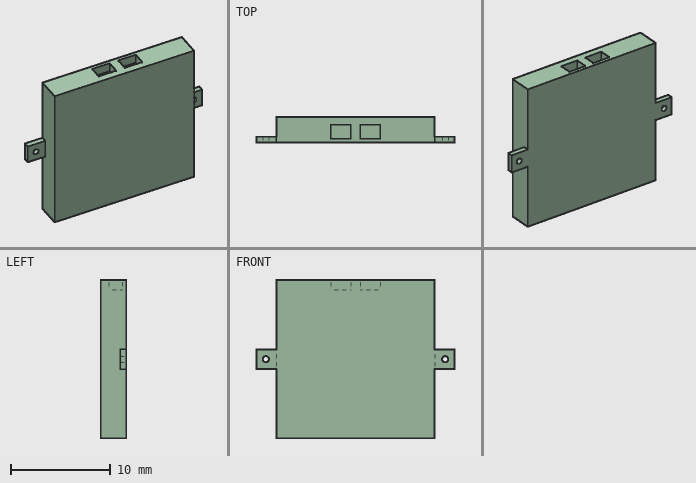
import cadquery as cq

overall_length = 20
body_size = 16
body_thickness = 2.6

tab_height = 2
tab_thickness = 0.6
hole_diameter = 0.6
hole_spacing = 18.1

pocket_length = 2
pocket_width = 1.4
pocket_depth = 1
pocket_spacing = 3
pocket_front_wall = 0.4

body = cq.Workplane("XY").box(body_size, body_thickness, body_size, centered=(True, False, True))
tabs = cq.Workplane("XY").box(overall_length, tab_thickness, tab_height, centered=(True, False, True))
holes = (
    cq.Workplane("XZ")
    .pushPoints([(-hole_spacing / 2, 0), (hole_spacing / 2, 0)])
    .circle(hole_diameter / 2)
    .extrude(-tab_thickness)
)

pocket_y = pocket_front_wall + pocket_width / 2
pockets = (
    cq.Workplane("XY", origin=(0, pocket_y, body_size / 2))
    .pushPoints([(-pocket_spacing / 2, 0), (pocket_spacing / 2, 0)])
    .rect(pocket_length, pocket_width)
    .extrude(-pocket_depth)
)

result = body.union(tabs).cut(holes).cut(pockets)